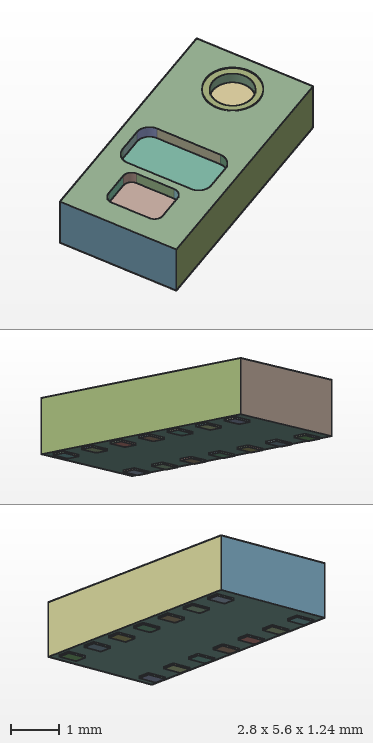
import cadquery as cq

body_width = 2.8
body_length = 5.6
total_height = 1.24
pad_height = 0.04
body_height = total_height - pad_height

pad_width = 0.45
pad_length = 0.3
pad_pitch = 0.8
pads_per_column = 7
pad_edge_gap = 0.1
column_spacing = body_width - 2 * pad_edge_gap - pad_width

round_y = 1.89
step_diameter = 1.27
step_depth = 0.02
hole_diameter = 0.95

opening_depth = 0.28
large_pocket_size = (2.13, 1.18)
large_pocket_y = -0.51
large_corner_radius = 0.3
small_pocket_size = (1.305, 1.0)
small_pocket_y = -1.78
small_corner_radius = 0.2


def round_cut(diameter, depth):
    """Cylinder reaching down from the top face."""
    return (
        cq.Workplane("XY", origin=(0, round_y, body_height - depth))
        .circle(diameter / 2)
        .extrude(depth)
    )


def pocket_cut(size, y, corner_radius):
    """Block with rounded vertical corners reaching down from the top face."""
    return (
        cq.Workplane("XY", origin=(0, y, body_height - opening_depth))
        .rect(*size)
        .extrude(opening_depth)
        .edges("|Z")
        .fillet(corner_radius)
    )


body = cq.Workplane("XY").box(body_width, body_length, body_height, centered=(True, True, False))

pads = (
    cq.Workplane("XY", origin=(0, 0, -pad_height))
    .rarray(column_spacing, pad_pitch, 2, pads_per_column)
    .rect(pad_width, pad_length)
    .extrude(pad_height)
)

result = (
    body.union(pads)
    .cut(round_cut(step_diameter, step_depth))
    .cut(round_cut(hole_diameter, opening_depth))
    .cut(pocket_cut(large_pocket_size, large_pocket_y, large_corner_radius))
    .cut(pocket_cut(small_pocket_size, small_pocket_y, small_corner_radius))
)